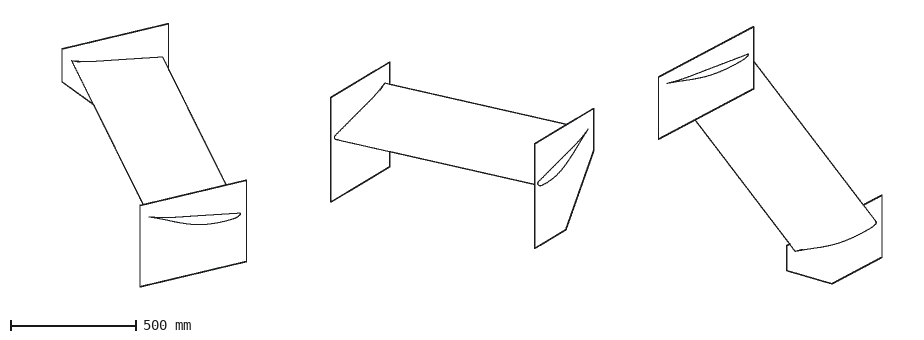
import cadquery as cq

span = 960.0
plate_side = 450.0
plate_thickness = 3.0

corner_cut_depth = 213.0
corner_cut_height = 268.0

trailing_edge = (-185.0, 149.0)
upper_surface = [(-96.0, 117.0), (-25.0, 101.0), (53.0, 84.0), (132.0, 65.0), (196.0, 51.0)]
nose = (201.0, 46.0)
lower_surface = [(198.0, 40.0), (187.0, 32.0), (157.0, 26.0), (102.0, 26.0), (37.0, 36.0), (-18.0, 57.0), (-84.0, 91.0)]

half_span = span / 2
half_side = plate_side / 2


def wing_half(start_x):
    """Half of the wing, running in +X from start_x to the next station."""
    return (
        cq.Workplane("YZ", origin=(start_x, 0, 0))
        .moveTo(*trailing_edge)
        .spline(upper_surface, includeCurrent=True)
        .threePointArc(nose, lower_surface[0])
        .spline([*lower_surface[1:], trailing_edge], includeCurrent=True)
        .close()
        .extrude(half_span)
    )


def end_plate(center_x):
    """Thin square plate across the end of the wing."""
    return cq.Workplane("XY").box(plate_thickness, plate_side, plate_side).translate((center_x, 0, 0))


def corner_cutter():
    """Triangular prism that removes the lower -Y corner of the -X end plate."""
    return (
        cq.Workplane("YZ", origin=(-half_span, 0, 0))
        .moveTo(-half_side, -half_side)
        .lineTo(-half_side + corner_cut_depth, -half_side)
        .lineTo(-half_side, -half_side + corner_cut_height)
        .close()
        .extrude(plate_thickness)
    )


plate_center_x = half_span - plate_thickness / 2
cut_plate = end_plate(-plate_center_x).cut(corner_cutter())
full_plate = end_plate(plate_center_x)

result = (
    wing_half(-half_span)
    .union(wing_half(0), clean=False)
    .union(cut_plate, clean=False)
    .union(full_plate, clean=False)
)